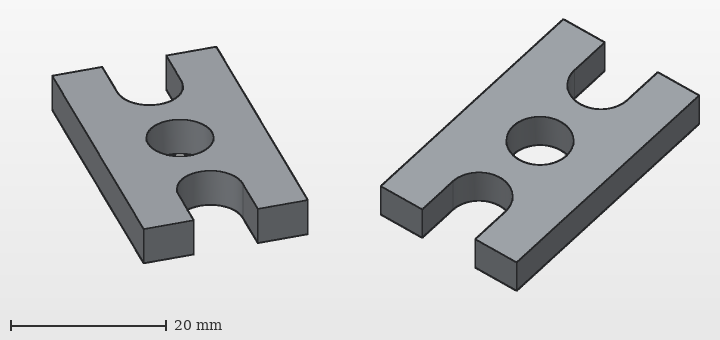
import cadquery as cq

length = 38.1
width = 22.2
thickness = 5.25

hole_diameter = 8.65
slot_depth = 10.65

slot_radius = hole_diameter / 2
slot_center_x = length / 2 - slot_depth + slot_radius


def end_slot(side):
    """Through cutter for a round-bottomed slot open at the -X (-1) or +X (+1) end."""
    center_x = side * slot_center_x
    end_x = side * length / 2
    return (
        cq.Workplane("XY")
        .moveTo(end_x, -slot_radius)
        .lineTo(center_x, -slot_radius)
        .threePointArc((center_x - side * slot_radius, 0), (center_x, slot_radius))
        .lineTo(end_x, slot_radius)
        .close()
        .extrude(thickness)
    )


plate = cq.Workplane("XY").box(length, width, thickness, centered=(True, True, False))
result = plate.faces(">Z").workplane().hole(hole_diameter)
for side in (-1, 1):
    result = result.cut(end_slot(side))